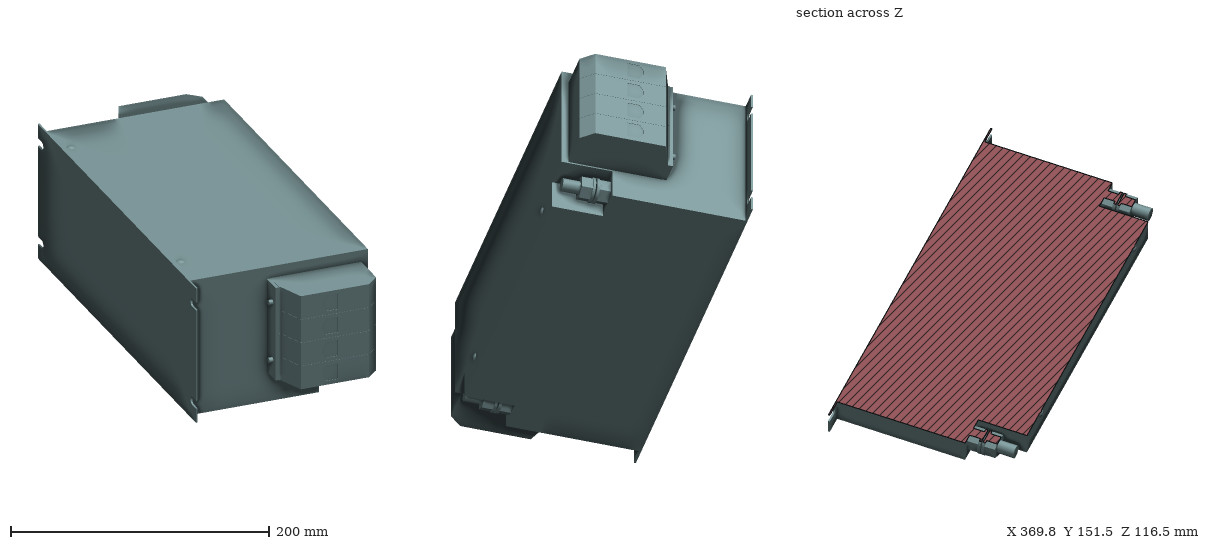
import cadquery as cq


TOTAL_LENGTH = 369.8
TOTAL_DEPTH = 151.5
TOTAL_HEIGHT = 116.5

TOP_DOME_HEIGHT = 1.0
BACK_DOME_HEIGHT = 1.5
DOME_RADIUS = 3.5
TOP_SCREW_X = 111.0
TOP_SCREW_Y = 7.5
BACK_SCREW_X = 92.0
BACK_SCREW_Z = 17.0

BODY_LENGTH = 291.0
BODY_DEPTH = TOTAL_DEPTH - BACK_DOME_HEIGHT
BODY_HEIGHT = TOTAL_HEIGHT - TOP_DOME_HEIGHT
BODY_END = BODY_LENGTH / 2

PLATE_LENGTH = 320.2
PLATE_THICKNESS = 1.5
SLOT_WIDTH = 6.5
SLOT_DEPTH = 11.0
SLOT_EDGE_DISTANCE = 15.5

MODULE_COUNT = 4
MODULE_HEIGHT = 20.0
BLOCK_HEIGHT = MODULE_COUNT * MODULE_HEIGHT
BLOCK_TOP_INSET = 10.0
BLOCK_TOP = BODY_HEIGHT - BLOCK_TOP_INSET
BLOCK_BOTTOM = BLOCK_TOP - BLOCK_HEIGHT
BLOCK_END = TOTAL_LENGTH / 2
BLOCK_DEPTH = 76.0
BLOCK_BACK_INSET = 5.5
BLOCK_BACK = BODY_DEPTH - BLOCK_BACK_INSET
BLOCK_FRONT = BLOCK_BACK - BLOCK_DEPTH
BLOCK_CHAMFER_X = 9.2
BLOCK_CHAMFER_Y = 10.0
BLOCK_SLOPE_DEPTH = 9.2
BLOCK_SLOPE_START_Y = BLOCK_FRONT + BLOCK_SLOPE_DEPTH
BLOCK_LIP_END = 163.5
BLOCK_LIP = 1.0
JOINT_SIZE = 0.2
EMBED = 2.0

FLANGE_THICKNESS = 3.0
FLANGE_STEP = 0.2
FLANGE_FRONT = BLOCK_FRONT - FLANGE_THICKNESS
FLANGE_SCREW_RADIUS = 2.2
FLANGE_SCREW_HEIGHT = 3.5
FLANGE_SCREW_X = 156.8
FLANGE_SCREW_INSET = 15.0

ENTRY_HEIGHT = 13.3
ENTRY_STRAIGHT = 10.0
ENTRY_LENGTH = 13.3
ENTRY_NOSE_HEIGHT = 3.5
ENTRY_BACK_INSET = 36.0
ENTRY_BACK_Y = BLOCK_BACK - ENTRY_BACK_INSET
ENTRY_DEPTH = 0.5

RECESS_LENGTH = 26.0
RECESS_DEPTH = 41.0
RECESS_HEIGHT = 24.5
RECESS_WALL_Y = BODY_DEPTH - RECESS_DEPTH
STUD_X = BODY_END - RECESS_LENGTH / 2
STUD_Z = 12.5
STUD_RADIUS = 5.0
STUD_LENGTH = 37.5
NUT_ACROSS_CORNERS = 19.2
NUT_HEIGHT = 9.0
WASHER_RADIUS = 10.0
WASHER_THICKNESS = 2.2
WASHER_GAP = 1.0


def box(x_range, y_range, z_range):
    """Box spanning the given (low, high) pairs."""
    low, high = zip(x_range, y_range, z_range)
    size = [b - a for a, b in zip(low, high)]
    return cq.Workplane("XY").box(*size, centered=False).translate(low)


def y_plane(x, y, z):
    """Workplane facing +Y, with its local X along -X and its local Y along +Z."""
    return cq.Workplane(cq.Plane(origin=(x, y, z), xDir=(-1, 0, 0), normal=(0, 1, 0)))


def make_housing():
    housing = box((-BODY_END, BODY_END), (0, BODY_DEPTH), (0, BODY_HEIGHT))
    recess = box((BODY_END - RECESS_LENGTH, BODY_END), (RECESS_WALL_Y, BODY_DEPTH), (0, RECESS_HEIGHT))
    return housing.cut(recess).cut(recess.mirror("YZ"))


def make_mounting_plate():
    plate_end = PLATE_LENGTH / 2
    plate = box((-plate_end, plate_end), (0, PLATE_THICKNESS), (0, BODY_HEIGHT))
    slots = (
        y_plane(0, 0, 0)
        .pushPoints([
            (side * plate_end, z)
            for side in (-1, 1)
            for z in (SLOT_EDGE_DISTANCE, BODY_HEIGHT - SLOT_EDGE_DISTANCE)
        ])
        .slot2D(2 * SLOT_DEPTH, SLOT_WIDTH)
        .extrude(PLATE_THICKNESS)
    )
    return plate.cut(slots)


def block_outline():
    """Plan outline of the terminal block on the +X end."""
    return (
        cq.Workplane("XY")
        .moveTo(BODY_END - EMBED, BLOCK_BACK)
        .lineTo(BLOCK_END - BLOCK_CHAMFER_X, BLOCK_BACK)
        .lineTo(BLOCK_END, BLOCK_BACK - BLOCK_CHAMFER_Y)
        .lineTo(BLOCK_END, BLOCK_SLOPE_START_Y)
        .lineTo(BLOCK_LIP_END, BLOCK_FRONT + BLOCK_LIP)
        .lineTo(BLOCK_LIP_END, BLOCK_FRONT)
        .lineTo(BODY_END - EMBED, BLOCK_FRONT)
        .close()
    )


def make_wire_entry(z):
    return (
        cq.Workplane("YZ", origin=(BLOCK_END, ENTRY_BACK_Y, z))
        .moveTo(0, ENTRY_HEIGHT / 2)
        .lineTo(-ENTRY_STRAIGHT, ENTRY_HEIGHT / 2)
        .lineTo(-ENTRY_LENGTH, ENTRY_NOSE_HEIGHT / 2)
        .lineTo(-ENTRY_LENGTH, -ENTRY_NOSE_HEIGHT / 2)
        .lineTo(-ENTRY_STRAIGHT, -ENTRY_HEIGHT / 2)
        .lineTo(0, -ENTRY_HEIGHT / 2)
        .close()
        .extrude(-ENTRY_DEPTH)
    )


def make_terminal_block():
    block = block_outline().extrude(BLOCK_HEIGHT)
    joint_core = block_outline().offset2D(-JOINT_SIZE).extrude(JOINT_SIZE)
    joint = block_outline().extrude(JOINT_SIZE).cut(joint_core)
    for index in range(1, MODULE_COUNT):
        block = block.cut(joint.translate((0, 0, index * MODULE_HEIGHT - JOINT_SIZE / 2)))
    for index in range(MODULE_COUNT):
        block = block.cut(make_wire_entry((index + 0.5) * MODULE_HEIGHT))
    return block.translate((0, 0, BLOCK_BOTTOM))


def make_flange():
    flange = box(
        (BODY_END - EMBED, BLOCK_LIP_END - FLANGE_STEP),
        (FLANGE_FRONT, BLOCK_FRONT),
        (BLOCK_BOTTOM + FLANGE_STEP, BLOCK_TOP - FLANGE_STEP),
    )
    for z in (BLOCK_BOTTOM + FLANGE_SCREW_INSET, BLOCK_TOP - FLANGE_SCREW_INSET):
        screw = y_plane(FLANGE_SCREW_X, FLANGE_FRONT, z).circle(FLANGE_SCREW_RADIUS)
        flange = flange.union(screw.extrude(-FLANGE_SCREW_HEIGHT))
    return flange


def make_ground_stud():
    """Stud carrying a nut, two spaced washers and an outer nut."""
    stud = y_plane(STUD_X, RECESS_WALL_Y, STUD_Z).circle(STUD_RADIUS).extrude(STUD_LENGTH)
    first_washer_y = RECESS_WALL_Y + NUT_HEIGHT
    second_washer_y = first_washer_y + WASHER_THICKNESS + WASHER_GAP
    outer_nut_y = second_washer_y + WASHER_THICKNESS
    for y in (first_washer_y, second_washer_y):
        stud = stud.union(y_plane(STUD_X, y, STUD_Z).circle(WASHER_RADIUS).extrude(WASHER_THICKNESS))
    for y in (RECESS_WALL_Y, outer_nut_y):
        nut = y_plane(STUD_X, y, STUD_Z).transformed(rotate=(0, 0, 90)).polygon(6, NUT_ACROSS_CORNERS)
        stud = stud.union(nut.extrude(NUT_HEIGHT))
    return stud


def make_dome(height):
    """Shallow spherical screw head of the given height, with its base on Z = 0."""
    sphere_radius = (DOME_RADIUS**2 + height**2) / (2 * height)
    sphere = cq.Workplane("XY").sphere(sphere_radius).translate((0, 0, height - sphere_radius))
    head = cq.Workplane("XY").circle(DOME_RADIUS).extrude(height)
    return head.intersect(sphere)


result = make_housing().union(make_mounting_plate())

end_fittings = make_terminal_block().union(make_flange())
for fitting in (end_fittings, make_ground_stud()):
    result = result.union(fitting).union(fitting.mirror("YZ"))

top_dome = make_dome(TOP_DOME_HEIGHT)
back_dome = make_dome(BACK_DOME_HEIGHT).rotate((0, 0, 0), (1, 0, 0), -90)
for side in (-1, 1):
    result = result.union(top_dome.translate((side * TOP_SCREW_X, TOP_SCREW_Y, BODY_HEIGHT)))
    result = result.union(back_dome.translate((side * BACK_SCREW_X, BODY_DEPTH, BACK_SCREW_Z)))